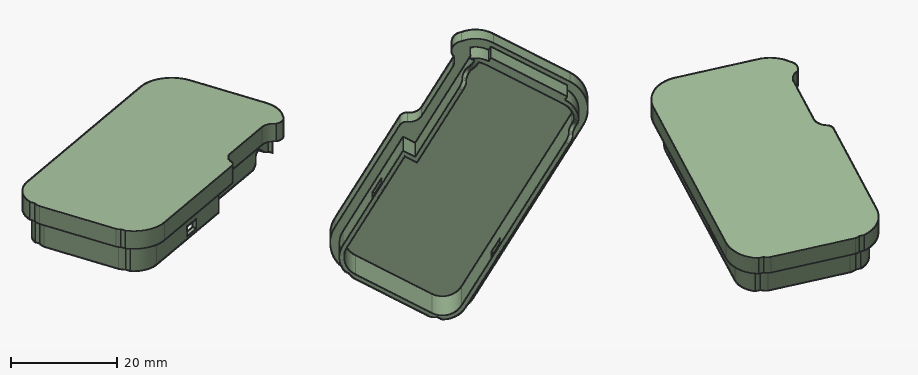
import cadquery as cq
import math

width = 30.0
length = 55.25
height = 9.7
plate_thickness = 3.85
skirt_height = height - plate_thickness

skirt_width = 26.5
inset = (width - skirt_width) / 2
skirt_corner_diameter = 10.0
skirt_corner_radius = skirt_corner_diameter / 2
plate_corner_radius = skirt_corner_radius + inset
corner_x = width / 2 - plate_corner_radius
corner_y = length / 2 - plate_corner_radius
wall = 0.9
roof = 1.75

left_shoulder_outer = 10.65
right_shoulder_outer = 10.3
shoulder_width = 1.0
left_edge_end = 8.4
plate_right_edge_end = 8.4
skirt_right_edge_end = 7.9
shoulder_bulge = 0.05

notch_x = 12.35
notch_low_y = 7.4
notch_high_y = 19.35
notch_end_reach = 3.6
nose_start_x = 13.65
nose_tip = (14.45, 23.2)
nose_end = (14.0, 21.8)
high_bend_mid = (12.8, 20.8)
low_bend_mid = (13.0, 6.0)
low_bend_end = (14.15, 5.2)
low_round_mid = (14.75, 4.65)

window_y = -7.9
window_width = 3.35
window_bottom = 0.65
window_height = 2.05

relief_z = 1.15
relief_wall_y = 20.05
relief_rim_radius = 1.4
relief_flat_end_y = 25.1
relief_curve_mid = (23.8, 1.5)
relief_slope_start = (22.8, 2.15)
relief_slope_end = (21.75, 3.1)
relief_crown = (20.7, 3.3)
relief_wall_top_z = 2.55
tab_depth = 0.85


def corner_point(radius, x):
    """Point on a -Y corner arc at the distance x from the centre line."""
    return x, -corner_y - math.sqrt(radius**2 - (x - corner_x) ** 2)


def add_shoulder_end(wire, radius, right_edge_end):
    """Continue a wire from the +X side around the shouldered -Y end to the -X side."""
    diagonal = radius * math.sqrt(0.5)
    end_y = -corner_y - radius
    right_x, right_y = corner_point(radius, right_shoulder_outer)
    left_x, left_y = corner_point(radius, left_shoulder_outer)
    right_bulge_x = (right_x - shoulder_width + right_edge_end) / 2 + shoulder_bulge
    right_bulge_y = (right_y + end_y) / 2 - shoulder_bulge
    left_bulge_x = (left_x - shoulder_width + left_edge_end) / 2 + shoulder_bulge
    left_bulge_y = (left_y + end_y) / 2 - shoulder_bulge
    return (
        wire.lineTo(corner_x + radius, -corner_y)
        .threePointArc((corner_x + diagonal, -corner_y - diagonal), (right_x, right_y))
        .lineTo(right_x - shoulder_width, right_y)
        .threePointArc((right_bulge_x, right_bulge_y), (right_edge_end, end_y))
        .lineTo(-left_edge_end, end_y)
        .threePointArc((-left_bulge_x, left_bulge_y), (shoulder_width - left_x, left_y))
        .lineTo(-left_x, left_y)
        .threePointArc((-corner_x - diagonal, -corner_y - diagonal), (-corner_x - radius, -corner_y))
    )


def add_far_end(wire, radius):
    """Continue a wire from the -X side over the rounded -X +Y corner to the +Y edge."""
    diagonal = radius * math.sqrt(0.5)
    return (
        wire.lineTo(-corner_x - radius, corner_y)
        .threePointArc((-corner_x - diagonal, corner_y + diagonal), (-corner_x, corner_y + radius))
        .lineTo(corner_x, corner_y + radius)
    )


def make_plate():
    """Top plate with the finger notch and its rounded nose."""
    nose_start_y = corner_y + math.sqrt(plate_corner_radius**2 - (nose_start_x - corner_x) ** 2)
    mid_angle = math.atan2(nose_start_y - corner_y, nose_start_x - corner_x) / 2 + math.pi / 4
    corner_mid = (
        corner_x + plate_corner_radius * math.cos(mid_angle),
        corner_y + plate_corner_radius * math.sin(mid_angle),
    )
    wire = (
        cq.Workplane("XY", origin=(0, 0, skirt_height))
        .moveTo(corner_x, length / 2)
        .threePointArc(corner_mid, (nose_start_x, nose_start_y))
        .threePointArc(nose_tip, nose_end)
        .threePointArc(high_bend_mid, (notch_x, notch_high_y))
        .lineTo(notch_x, notch_low_y)
        .threePointArc(low_bend_mid, low_bend_end)
        .threePointArc(low_round_mid, (width / 2, notch_low_y - notch_end_reach))
    )
    wire = add_shoulder_end(wire, plate_corner_radius, plate_right_edge_end)
    return add_far_end(wire, plate_corner_radius).close().extrude(plate_thickness)


def notch_clearance(offset, depth):
    """Block that keeps the skirt, or its cavity, behind the finger notch."""
    low_y = notch_low_y - notch_end_reach - offset
    high_y = notch_high_y + notch_end_reach + offset
    return (
        cq.Workplane("XY")
        .moveTo(notch_x - offset, low_y)
        .lineTo(width, low_y)
        .lineTo(width, high_y)
        .lineTo(notch_x - offset, high_y)
        .close()
        .extrude(depth)
    )


def make_skirt():
    """Skirt that follows the plate outline at a constant inset."""
    radius = skirt_corner_radius
    diagonal = radius * math.sqrt(0.5)
    wire = (
        cq.Workplane("XY")
        .moveTo(corner_x, corner_y + radius)
        .threePointArc((corner_x + diagonal, corner_y + diagonal), (corner_x + radius, corner_y))
    )
    wire = add_shoulder_end(wire, radius, skirt_right_edge_end)
    skirt = add_far_end(wire, radius).close().extrude(skirt_height)
    return skirt.cut(notch_clearance(inset, skirt_height))


def make_cavity():
    """Inside space, open at the bottom and closed by the roof."""
    depth = height - roof
    cavity = (
        cq.Workplane("XY")
        .rect(width - 2 * (inset + wall), length - 2 * (inset + wall))
        .extrude(depth)
        .edges("|Z")
        .fillet(skirt_corner_radius - wall)
    )
    return cavity.cut(notch_clearance(inset + wall, depth))


def make_tab():
    """Flat tab standing out from the +Y wall of the skirt."""
    skirt_end = length / 2 - inset
    return cq.Workplane("XY").box(
        2 * corner_x, tab_depth + wall, skirt_height, centered=(True, False, False)
    ).translate((0, skirt_end - wall, 0))


def make_relief():
    """S-shaped cut across the whole width under the +Y end."""
    rim_diagonal = relief_rim_radius * (1 - math.sqrt(0.5))
    return (
        cq.Workplane("YZ", origin=(-width / 2, 0, 0))
        .moveTo(length / 2, 0)
        .lineTo(length / 2, relief_z)
        .lineTo(relief_flat_end_y, relief_z)
        .threePointArc(relief_curve_mid, relief_slope_start)
        .lineTo(*relief_slope_end)
        .threePointArc(relief_crown, (relief_wall_y, relief_wall_top_z))
        .lineTo(relief_wall_y, relief_rim_radius)
        .threePointArc(
            (relief_wall_y - rim_diagonal, rim_diagonal), (relief_wall_y - relief_rim_radius, 0)
        )
        .close()
        .extrude(width)
    )


windows = cq.Workplane("XY").box(width, window_width, window_height).translate(
    (0, window_y, window_bottom + window_height / 2)
)

result = (
    make_plate()
    .union(make_skirt())
    .union(make_tab())
    .cut(make_cavity())
    .cut(windows)
    .cut(make_relief())
)